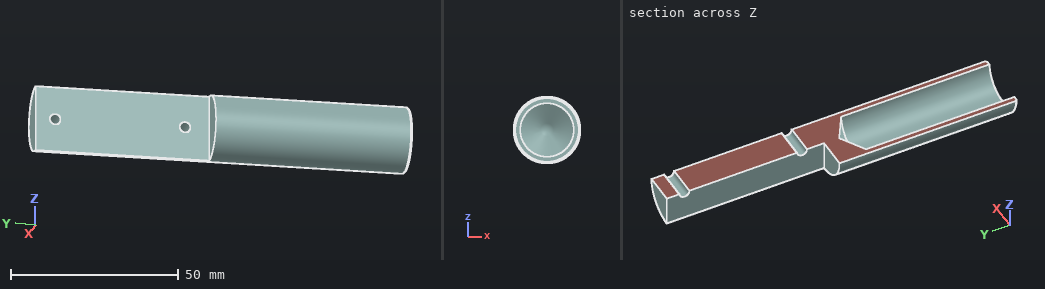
import cadquery as cq
import math

handle_diameter = 20.0
handle_radius = handle_diameter / 2
socket_length = 60.0
tongue_length = 53.0
overall_length = socket_length + tongue_length
mouth_chamfer = 0.5

bore_diameter = 16.0
bore_radius = bore_diameter / 2
bore_depth = 50.0
bore_tip_angle = 118.0
bore_tip_length = bore_radius / math.tan(math.radians(bore_tip_angle / 2))

screw_hole_diameter = 3.24
end_hole_inset = 6.0
screw_hole_spacing = 39.63


def round_bar():
    bar = cq.Workplane("XZ").circle(handle_radius).extrude(-overall_length)
    return bar.faces("<Y").chamfer(mouth_chamfer)


def bore_cutter():
    """Drilled socket: a straight bore ending in a conical drill point."""
    profile = (
        cq.Workplane("XY")
        .lineTo(bore_radius, 0)
        .lineTo(bore_radius, bore_depth)
        .lineTo(0, bore_depth + bore_tip_length)
        .close()
    )
    return profile.revolve(360, (0, 0, 0), (0, 1, 0))


def tongue_relief():
    """Block that removes the -X half of the bar beyond the socket."""
    return (
        cq.Workplane("XY")
        .box(handle_radius, tongue_length, handle_diameter, centered=(False, False, True))
        .translate((-handle_radius, socket_length, 0))
    )


def screw_holes():
    end_hole_y = overall_length - end_hole_inset
    positions = [(end_hole_y, 0), (end_hole_y - screw_hole_spacing, 0)]
    return (
        cq.Workplane("YZ")
        .pushPoints(positions)
        .circle(screw_hole_diameter / 2)
        .extrude(handle_radius)
    )


handle = round_bar().cut(bore_cutter()).cut(tongue_relief()).cut(screw_holes())

result = cq.Compound.makeCompound([handle.val()])